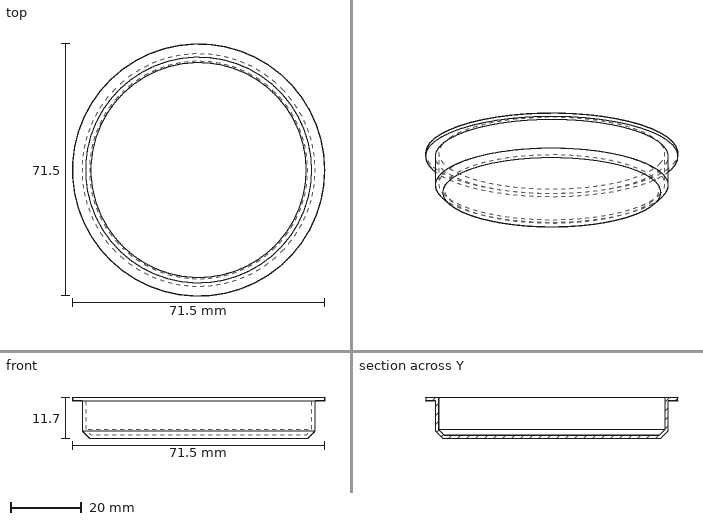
import cadquery as cq
import math

flange_diameter = 71.5
body_diameter = 66.0
total_height = 11.7
flange_thickness = 1.0
wall = 1.0
bevel_length = 3.0

flange_radius = flange_diameter / 2
body_radius = body_diameter / 2
bevel_leg = bevel_length / math.sqrt(2)
base_radius = body_radius - bevel_leg
cavity_radius = body_radius - wall
flange_underside = total_height - flange_thickness

bevel_offset = wall * math.sqrt(2)
floor_radius = base_radius + wall - bevel_offset
bevel_top = wall + cavity_radius - floor_radius


def make_cup():
    """Round flanged cup, turned about Z with its base at Z = 0."""
    half_section = [
        (0, 0),
        (base_radius, 0),
        (body_radius, bevel_leg),
        (body_radius, flange_underside),
        (flange_radius, flange_underside),
        (flange_radius, total_height),
        (cavity_radius, total_height),
        (cavity_radius, bevel_top),
        (floor_radius, wall),
        (0, wall),
    ]
    return cq.Workplane("XZ").polyline(half_section).close().revolve(360, (0, 0, 0), (0, 1, 0))


result = make_cup()